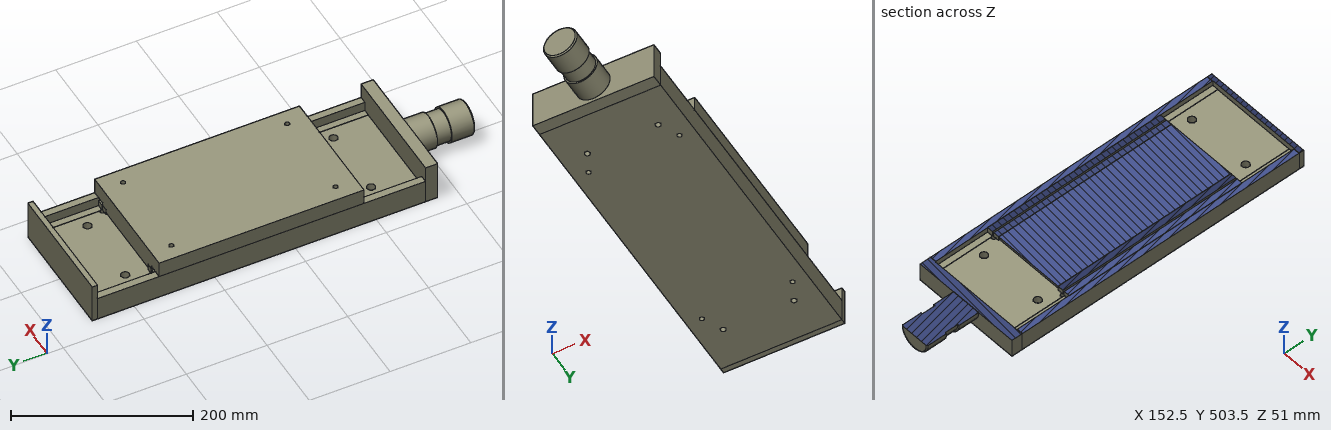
import cadquery as cq

total_length = 503.5
width = 152.5
height = 51.0
base_height = 30.5
base_length = 406.5
front_plate_thickness = 15.0
back_plate_thickness = 6.5
table_length = 254.0
half_width = width / 2
half_base = base_length / 2

wall_thickness = 9.0
floor_height = 18.0
seat_rise = 0.5
seat_height = floor_height + seat_rise
channel_half_width = half_width - wall_thickness

rail_width = 8.0
rail_height = 7.5
rail_gap = 1.5
base_rail_inner = channel_half_width - rail_width
table_rail_outer = base_rail_inner - rail_gap
table_rail_inner = table_rail_outer - rail_width
table_rail_top = 27.0
keel_bottom = 22.5

mount_spacing_x = 89.0
mount_spacing_y = 304.5
mount_diameter = 6.5
mount_bore_diameter = 10.0
mount_bore_depth = 10.0
access_spacing_y = table_length
access_diameter = 5.5
table_hole_spacing_x = 114.5
table_hole_spacing_y = 203.5
table_hole_diameter = 5.5
table_hole_depth = 10.0
drill_tip_depth = 1.5

knob_radius = 21.0
neck_radius = 19.0
knob_sleeve_length = 28.5
knob_neck_length = 18.0
knob_end_chamfer = 1.5
knob_length = total_length - base_length - front_plate_thickness - back_plate_thickness


def block(x_range, y_range, z_range):
    """Box between two X, two Y and two Z values."""
    (x0, x1), (y0, y1), (z0, z1) = x_range, y_range, z_range
    return cq.Workplane("XY").box(x1 - x0, y1 - y0, z1 - z0, centered=False).translate((x0, y0, z0))


def centered_block(size_x, size_y, z_range):
    """Box centred on the Z axis in X and Y, between two Z values."""
    return block((-size_x / 2, size_x / 2), (-size_y / 2, size_y / 2), z_range)


def four_holes(spacing_x, spacing_y, diameter, z_range):
    """Four upright cylinders at the corners of a rectangle."""
    z0, z1 = z_range
    corners = cq.Workplane("XY").workplane(offset=z0).rect(spacing_x, spacing_y, forConstruction=True)
    return corners.vertices().circle(diameter / 2).extrude(z1 - z0)


def make_base():
    body = centered_block(width, base_length, (0, base_height))
    body = body.cut(centered_block(2 * channel_half_width, base_length, (seat_height, base_height)))
    body = body.cut(centered_block(2 * base_rail_inner, base_length, (floor_height, base_height)))
    bore_range = (floor_height - mount_bore_depth, floor_height)
    body = body.cut(four_holes(mount_spacing_x, mount_spacing_y, mount_diameter, (0, floor_height)))
    body = body.cut(four_holes(mount_spacing_x, mount_spacing_y, mount_bore_diameter, bore_range))
    return body.cut(four_holes(table_hole_spacing_x, access_spacing_y, access_diameter, (0, seat_height)))


def make_end_plate(y_range):
    return block((-half_width, half_width), y_range, (0, height))


def make_table():
    body = centered_block(width, table_length, (base_height, height))
    body = body.union(centered_block(2 * table_rail_outer, table_length, (table_rail_top, base_height)))
    body = body.union(centered_block(2 * table_rail_inner, table_length, (keel_bottom, table_rail_top)))
    hole_bottom = height - table_hole_depth
    body = body.cut(
        four_holes(table_hole_spacing_x, table_hole_spacing_y, table_hole_diameter, (hole_bottom, height))
    )
    for x in (-table_hole_spacing_x / 2, table_hole_spacing_x / 2):
        for y in (-table_hole_spacing_y / 2, table_hole_spacing_y / 2):
            tip = cq.Solid.makeCone(
                table_hole_diameter / 2, 0, drill_tip_depth, cq.Vector(x, y, hole_bottom), cq.Vector(0, 0, -1)
            )
            body = body.cut(cq.Workplane(tip))
    return body


def make_rail(side, inner, bottom):
    """Rail of the table's length; side is -1 or 1 and inner is its distance from the centre plane."""
    x_range = sorted((side * inner, side * (inner + rail_width)))
    return block(x_range, (-table_length / 2, table_length / 2), (bottom, bottom + rail_height))


def make_knob():
    start = -half_base - front_plate_thickness
    neck_start = start - knob_sleeve_length
    neck_end = neck_start - knob_neck_length
    end = start - knob_length
    profile = [
        (0, start),
        (knob_radius, start),
        (knob_radius, neck_start),
        (neck_radius, neck_start),
        (neck_radius, neck_end),
        (knob_radius, neck_end),
        (knob_radius, end + knob_end_chamfer),
        (knob_radius - knob_end_chamfer, end),
        (0, end),
    ]
    body = cq.Workplane("XY").polyline(profile).close().revolve(360, (0, 0, 0), (0, 1, 0))
    return body.translate((0, 0, height / 2))


base = make_base()
front_plate = make_end_plate((-half_base - front_plate_thickness, -half_base))
back_plate = make_end_plate((half_base, half_base + back_plate_thickness))
table = make_table()
knob = make_knob()
base_rails = [make_rail(side, base_rail_inner, seat_height) for side in (-1, 1)]
table_rails = [make_rail(side, table_rail_inner, table_rail_top - rail_height) for side in (-1, 1)]

bodies = [base, front_plate, back_plate, table, knob, *base_rails, *table_rails]
result = cq.Compound.makeCompound([body.val() for body in bodies])